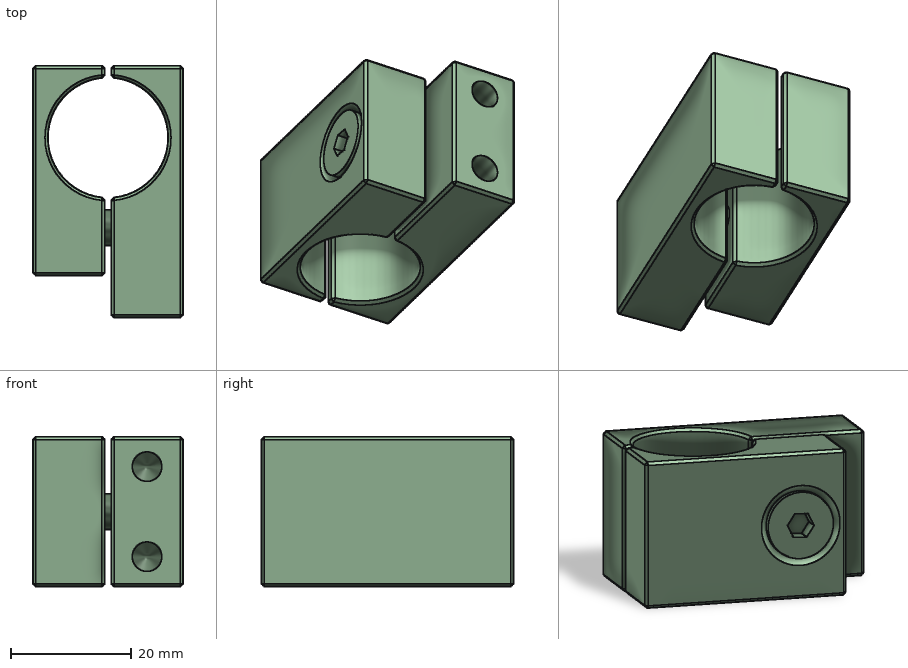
import cadquery as cq

width = 25.0
length = 42.0
height = 25.0
gap = 1.0
short_length = 35.0
edge_chamfer = 0.5
jaw_width = (width - gap) / 2
back_y = length / 2

bore_diameter = 20.0
bore_y = back_y - 12.0

screw_y = back_y - 27.0
shank_diameter = 6.0
head_diameter = 11.35
countersink_diameter = 13.65
countersink_depth = (countersink_diameter - head_diameter) / 2
socket_corner_diameter = 4.6
socket_depth = 3.0
socket_turn = 3.5

hole_diameter = 4.9
hole_spacing = 15.0
hole_depth = 10.0
drill_tip_depth = 1.45


def make_jaw(jaw_length, side):
    """Half clamp on the -X (side = -1) or +X (side = 1) side of the gap."""
    center_x = side * (gap + jaw_width) / 2
    center_y = back_y - jaw_length / 2
    block = cq.Workplane("XY").box(jaw_width, jaw_length, height)
    block = block.translate((center_x, center_y, 0))
    bore = cq.Workplane("XY").center(0, bore_y).circle(bore_diameter / 2).extrude(height, both=True)
    return block.cut(bore).edges().chamfer(edge_chamfer)


def make_drilled_hole(z):
    """Round blind hole with a conical bottom, entering along +Y."""
    radius = hole_diameter / 2
    profile = (
        cq.Workplane("XY")
        .polyline([(0, 0), (radius, 0), (radius, hole_depth), (0, hole_depth + drill_tip_depth)])
        .close()
    )
    hole = profile.revolve(360, (0, 0), (0, 1))
    return hole.translate(((gap + jaw_width) / 2, -length / 2, z))


def along_screw(start_x):
    """Plane normal to the screw axis, facing +X."""
    return cq.Workplane("YZ", origin=(start_x, screw_y, 0))


short_jaw = make_jaw(short_length, -1)
long_jaw = make_jaw(length, 1)
for hole_z in (-hole_spacing / 2, hole_spacing / 2):
    long_jaw = long_jaw.cut(make_drilled_hole(hole_z))

countersink = (
    along_screw(-width / 2)
    .circle(countersink_diameter / 2)
    .workplane(offset=countersink_depth)
    .circle(head_diameter / 2)
    .loft()
)
head = along_screw(-width / 2).circle(head_diameter / 2).extrude(countersink_depth)
short_jaw = short_jaw.cut(countersink.cut(head))

shank = along_screw(-width / 4).circle(shank_diameter / 2).extrude(width / 2)
socket = (
    along_screw(-width / 2)
    .transformed(rotate=(0, 0, socket_turn))
    .polygon(6, socket_corner_diameter)
    .extrude(socket_depth)
)

result = short_jaw.union(long_jaw).union(shank).cut(socket)